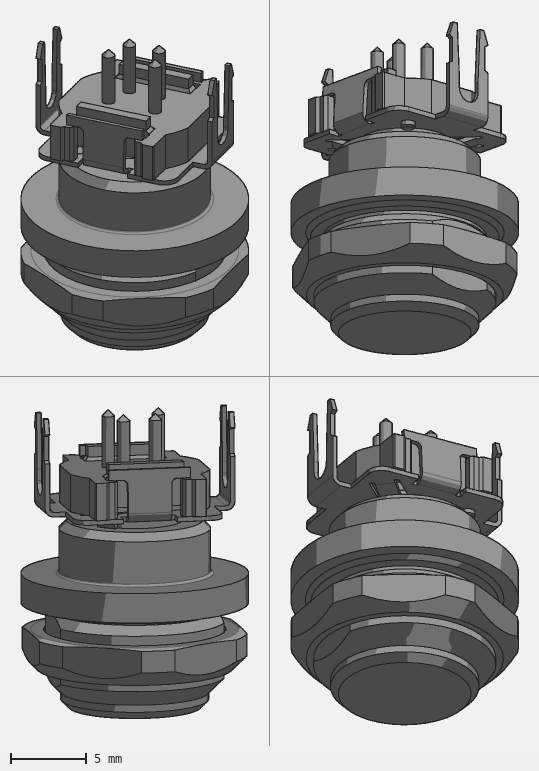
import cadquery as cq
import math

FLANGE_R = 7.5
FLANGE_BOTTOM_Z = 6.99
FLANGE_TOP_Z = 8.95
THREAD_R = 6.0
THREAD_FLAT_X = 5.5
THREAD_TOP_Z = 5.82
THREAD_RUNOUT = 0.62
NOSE_R = 4.88
NOSE_TOP_Z = 1.0
NOSE_CHAMFER = 0.52
SEAL_TIP_R = 6.21
SEAL_HEIGHT = 0.32
SLEEVE_R = 5.0
SLEEVE_TOP_Z = 12.49
SLEEVE_CHAMFER = 0.54
SLEEVE_FILLET = 0.18

NUT_FLAT_X = 6.99
NUT_BOTTOM_Z = 2.62
NUT_TOP_Z = 5.18
NUT_CHAMFER = 1.01
NUT_TOP_FACE_R = 6.85
NUT_TOP_BEVEL = 0.1

NECK_R = 3.12
BLOCK_BOTTOM_Z = 13.52
BLOCK_TOP_Z = 16.02
BLOCK_R = 5.0
BLOCK_HALF_X = 4.68
SHOULDER_HALF_X = 3.75
LUG_INNER_X = 2.78
LUG_HEIGHT = 0.2
LUG_CHAMFER_X = 0.05
LUG_CHAMFER_Y = 0.14
RECESS_HALF_X = 2.18
RECESS_CHAMFER = 0.22
POCKET_HALF_X = 2.78
POCKET_INNER_Y = 3.67
POCKET_OUTER_Y = 4.27
UNDERCUT_INNER_Y = 2.58
UNDERCUT_HEIGHT = 0.54
RIB_HALF_X = 2.52
RIB_INNER_Y = 2.98
RIB_TOP_Z = 16.95
RIB_SKIRT = 0.22
PEG_R = 0.48
PEG_X = 3.3
PEG_Y = 2.6
PEG_BOTTOM_Z = 12.78
PEG_CHAMFER = 0.12
PIN_R = 0.42
PIN_TOP_Z = 19.85
PIN_PLACES = [(-1.07, 1.47), (1.07, 1.47), (-1.69, -0.48), (1.69, -0.48)]

SHEET = 0.32
BEND_INNER_R = 0.3
BEND_OUTER_R = BEND_INNER_R + SHEET
PLATE_HALF = 5.0
PLATE_CORNER_R = 1.0
PLATE_BOTTOM_Z = BLOCK_BOTTOM_Z - SHEET
BEND_TOP_Z = PLATE_BOTTOM_Z + BEND_OUTER_R

TAB_OUTER_Y = 4.96
TAB_LEAN = 4.0
TAB_STEM_HALF_X = 1.47
TAB_RELIEF_HALF_X = 1.8
TAB_RELIEF_Y = 4.2
TAB_HEAD_HALF_X = 2.74
TAB_HEAD_BOTTOM_Z = 16.04
TAB_HEAD_FILLET = 0.38
TAB_TOP_Z = 16.73

WING_OUTER_X = 6.4
WING_HALF_Y = 1.69
WING_TOP_Z = 19.7
WAIST_HALF_Y = 1.4
WAIST_BOTTOM_Z = 16.95
WAIST_TOP_Z = 18.58
BARB_Z = 18.74
WAIST_STEP = 0.15
PRONG_TIP_OUTER_Y = 1.33
PRONG_TIP_INNER_Y = 1.0
SLOT_R = 0.81
SLOT_CENTRE_Z = 15.22
SLOT_TAPER_Z = 16.0

LEAF_HALF_WIDTH = 0.67
LEAF_ROOT = 4.76
LEAF_SLOPE = 18.0
LEAF_SLOT_WIDTH = 0.34
LEAF_SLOT_CENTRE = 4.96


def box(x0, x1, y0, y1, z0, z1):
    return cq.Workplane("XY").box(x1 - x0, y1 - y0, z1 - z0, centered=False).translate((x0, y0, z0))


def turned(points):
    """Solid of revolution about Z from (radius, z) points."""
    return cq.Workplane("XZ").polyline(points).close().revolve(360, (0, 0), (0, 1))


def both_ends(shape):
    """The shape together with its copy turned half a turn about Z."""
    return shape.union(shape.rotate((0, 0, 0), (0, 0, 1), 180))


def make_sleeve_fillet():
    """Concave fillet where the sleeve stands on the flange."""
    across_arc = SLEEVE_FILLET * (1 - math.sqrt(0.5))
    return (
        cq.Workplane("XZ")
        .moveTo(SLEEVE_R, FLANGE_TOP_Z)
        .lineTo(SLEEVE_R + SLEEVE_FILLET, FLANGE_TOP_Z)
        .threePointArc(
            (SLEEVE_R + across_arc, FLANGE_TOP_Z + across_arc),
            (SLEEVE_R, FLANGE_TOP_Z + SLEEVE_FILLET),
        )
        .close()
        .revolve(360, (0, 0), (0, 1))
    )


def make_housing():
    seal_bottom_z = FLANGE_BOTTOM_Z - SEAL_HEIGHT
    runout_r = THREAD_R - THREAD_RUNOUT
    shell = turned([
        (0, 0),
        (NOSE_R - NOSE_CHAMFER, 0),
        (NOSE_R, NOSE_CHAMFER),
        (NOSE_R, NOSE_TOP_Z),
        (THREAD_R, NOSE_TOP_Z + THREAD_R - NOSE_R),
        (THREAD_R, THREAD_TOP_Z),
        (runout_r, THREAD_TOP_Z + THREAD_RUNOUT),
        (runout_r, seal_bottom_z),
        (SEAL_TIP_R, seal_bottom_z),
        (SEAL_TIP_R + SEAL_HEIGHT, FLANGE_BOTTOM_Z),
        (FLANGE_R, FLANGE_BOTTOM_Z),
        (FLANGE_R, FLANGE_TOP_Z),
        (SLEEVE_R, FLANGE_TOP_Z),
        (SLEEVE_R, SLEEVE_TOP_Z - SLEEVE_CHAMFER),
        (SLEEVE_R - SLEEVE_CHAMFER, SLEEVE_TOP_Z),
        (0, SLEEVE_TOP_Z),
    ])
    beside_flat = box(THREAD_FLAT_X, FLANGE_R, -FLANGE_R, FLANGE_R, 0, seal_bottom_z)
    return shell.union(make_sleeve_fillet()).cut(both_ends(beside_flat))


def make_nut():
    height = NUT_TOP_Z - NUT_BOTTOM_Z
    corner_diameter = 2 * NUT_FLAT_X / math.cos(math.radians(30))
    base = cq.Workplane("XY", origin=(0, 0, NUT_BOTTOM_Z))
    hexagon = base.transformed(rotate=(0, 0, 30)).polygon(6, corner_diameter).extrude(height)
    turned_blank = turned([
        (0, NUT_BOTTOM_Z),
        (FLANGE_R - NUT_CHAMFER, NUT_BOTTOM_Z),
        (FLANGE_R, NUT_BOTTOM_Z + NUT_CHAMFER),
        (FLANGE_R, NUT_TOP_Z - NUT_TOP_BEVEL),
        (NUT_TOP_FACE_R, NUT_TOP_Z),
        (0, NUT_TOP_Z),
    ])
    bore = base.circle(THREAD_R).extrude(height)
    return hexagon.intersect(turned_blank).cut(bore)


def make_block():
    """Flat-sided round block with four corner lugs and, at each end, clearance for a clip tab.

    The clearance is a recess open to the outside, a through pocket behind it,
    and an undercut that reaches inward from the pocket along the clip plate.
    """
    height = BLOCK_TOP_Z - BLOCK_BOTTOM_Z
    plane = cq.Workplane("XY", origin=(0, 0, BLOCK_BOTTOM_Z))
    sides = plane.rect(2 * BLOCK_HALF_X, 2 * BLOCK_R).extrude(height)
    block = plane.circle(BLOCK_R).extrude(height).intersect(sides)
    block = block.union(plane.rect(2 * SHOULDER_HALF_X, 2 * BLOCK_R).extrude(height))

    lug = plane.polyline([
        (LUG_INNER_X, BLOCK_R),
        (LUG_INNER_X + LUG_HEIGHT, BLOCK_R + LUG_HEIGHT),
        (SHOULDER_HALF_X - LUG_CHAMFER_X, BLOCK_R + LUG_HEIGHT),
        (SHOULDER_HALF_X, BLOCK_R + LUG_HEIGHT - LUG_CHAMFER_Y),
        (SHOULDER_HALF_X, BLOCK_R),
    ]).close().extrude(height)
    block = block.union(both_ends(lug)).union(both_ends(lug.mirror("YZ")))

    mouth_half_x = RECESS_HALF_X + RECESS_CHAMFER
    recess = plane.polyline([
        (-RECESS_HALF_X, POCKET_INNER_Y),
        (RECESS_HALF_X, POCKET_INNER_Y),
        (RECESS_HALF_X, BLOCK_R - RECESS_CHAMFER),
        (mouth_half_x, BLOCK_R),
        (-mouth_half_x, BLOCK_R),
        (-RECESS_HALF_X, BLOCK_R - RECESS_CHAMFER),
    ]).close().extrude(height)
    pocket = box(-POCKET_HALF_X, POCKET_HALF_X, POCKET_INNER_Y, POCKET_OUTER_Y, BLOCK_BOTTOM_Z, BLOCK_TOP_Z)
    undercut = box(
        -POCKET_HALF_X, POCKET_HALF_X, UNDERCUT_INNER_Y, POCKET_INNER_Y,
        BLOCK_BOTTOM_Z, BLOCK_BOTTOM_Z + UNDERCUT_HEIGHT,
    )
    return block.cut(both_ends(recess.union(pocket).union(undercut)))


def make_rib():
    """Rib beside the pocket, with a sloped skirt on its three other sides."""
    rib = box(-RIB_HALF_X, RIB_HALF_X, RIB_INNER_Y, POCKET_INNER_Y, BLOCK_TOP_Z, RIB_TOP_Z)
    skirt = (
        cq.Workplane("XY", origin=(0, POCKET_INNER_Y, BLOCK_TOP_Z))
        .rect(2 * (RIB_HALF_X + RIB_SKIRT), 2 * (POCKET_INNER_Y - RIB_INNER_Y + RIB_SKIRT))
        .extrude(RIB_SKIRT, taper=45)
    )
    over_pocket = box(-BLOCK_R, BLOCK_R, POCKET_INNER_Y, 2 * BLOCK_R, BLOCK_TOP_Z, RIB_TOP_Z)
    return rib.union(skirt.cut(over_pocket))


def make_insert():
    insert = make_block().union(both_ends(make_rib()))
    neck = cq.Workplane("XY", origin=(0, 0, SLEEVE_TOP_Z)).circle(NECK_R).extrude(BLOCK_BOTTOM_Z - SLEEVE_TOP_Z)
    peg = (
        cq.Workplane("XY", origin=(PEG_X, -PEG_Y, PEG_BOTTOM_Z))
        .circle(PEG_R)
        .extrude(BLOCK_BOTTOM_Z - PEG_BOTTOM_Z)
        .faces("<Z")
        .chamfer(PEG_CHAMFER)
    )
    insert = insert.union(neck).union(both_ends(peg))
    pin = turned([
        (0, BLOCK_TOP_Z),
        (PIN_R, BLOCK_TOP_Z),
        (PIN_R, PIN_TOP_Z - PIN_R),
        (0, PIN_TOP_Z),
    ])
    for x, y in PIN_PLACES:
        insert = insert.union(pin.translate((x, y, 0)))
    return insert


def bent_edge(plane, outer, half_width, angle=90):
    """Bend from the plate up into a wall; at 90 degrees the wall's outer face is `outer` from the axis."""
    centre = outer - BEND_OUTER_R

    def at(radius, turn):
        turn = math.radians(turn)
        return (centre + radius * math.sin(turn), BEND_TOP_Z - radius * math.cos(turn))

    return (
        cq.Workplane(plane)
        .moveTo(*at(BEND_OUTER_R, 0))
        .threePointArc(at(BEND_OUTER_R, angle / 2), at(BEND_OUTER_R, angle))
        .lineTo(*at(BEND_INNER_R, angle))
        .threePointArc(at(BEND_INNER_R, angle / 2), at(BEND_INNER_R, 0))
        .close()
        .extrude(half_width, both=True)
    )


def make_tab():
    """T-shaped wall that stands in the recess of the block and leans toward the axis."""
    inner_y = TAB_OUTER_Y - SHEET
    stem = box(-TAB_STEM_HALF_X, TAB_STEM_HALF_X, inner_y, TAB_OUTER_Y, BEND_TOP_Z, TAB_HEAD_BOTTOM_Z)
    head = box(-TAB_HEAD_HALF_X, TAB_HEAD_HALF_X, inner_y, TAB_OUTER_Y, TAB_HEAD_BOTTOM_Z, TAB_TOP_Z)
    wall = stem.union(head)
    middle_y = TAB_OUTER_Y - SHEET / 2
    for side in (-1, 1):
        corner = cq.selectors.NearestToPointSelector((side * TAB_STEM_HALF_X, middle_y, TAB_HEAD_BOTTOM_Z))
        wall = wall.edges("|Y").edges(corner).fillet(TAB_HEAD_FILLET)
    bend_y = TAB_OUTER_Y - BEND_OUTER_R
    wall = wall.rotate((0, bend_y, BEND_TOP_Z), (1, bend_y, BEND_TOP_Z), TAB_LEAN)
    root = box(
        -TAB_STEM_HALF_X, TAB_STEM_HALF_X, TAB_RELIEF_Y, bend_y, PLATE_BOTTOM_Z, BLOCK_BOTTOM_Z
    )
    return wall.union(bent_edge("YZ", TAB_OUTER_Y, TAB_STEM_HALF_X, 90 + TAB_LEAN)).union(root)


def make_wing():
    """Fork with two barbed prongs, on an arm that reaches out from the plate."""
    outer_half = [
        (WING_HALF_Y, BEND_TOP_Z),
        (WING_HALF_Y, WAIST_BOTTOM_Z - WAIST_STEP),
        (WAIST_HALF_Y, WAIST_BOTTOM_Z),
        (WAIST_HALF_Y, WAIST_TOP_Z),
        (WING_HALF_Y, BARB_Z),
        (PRONG_TIP_OUTER_Y, WING_TOP_Z),
        (PRONG_TIP_INNER_Y, WING_TOP_Z),
        (SLOT_R, SLOT_TAPER_Z),
        (SLOT_R, SLOT_CENTRE_Z),
    ]
    other_half = [(-y, z) for y, z in reversed(outer_half)]
    fork = (
        cq.Workplane("YZ", origin=(WING_OUTER_X - SHEET, 0, 0))
        .polyline(outer_half)
        .threePointArc((0, SLOT_CENTRE_Z - SLOT_R), other_half[0])
        .polyline(other_half, includeCurrent=False)
        .close()
        .extrude(SHEET)
    )
    arm_end = WING_OUTER_X - BEND_OUTER_R
    arm = box(NECK_R, arm_end, -WING_HALF_Y, WING_HALF_Y, PLATE_BOTTOM_Z, BLOCK_BOTTOM_Z)
    return fork.union(arm).union(bent_edge("XZ", WING_OUTER_X, WING_HALF_Y))


def make_leaf():
    """Contact leaf that slopes down from the plate and stands on the housing beside the neck."""
    fall = math.tan(math.radians(LEAF_SLOPE))
    top_root = LEAF_ROOT - SHEET * math.tan(math.radians(LEAF_SLOPE / 2))
    leg_inner = NECK_R
    leg_outer = NECK_R + SHEET
    lower_elbow_z = PLATE_BOTTOM_Z - (LEAF_ROOT - leg_outer) * fall
    upper_elbow_z = BLOCK_BOTTOM_Z - (top_root - leg_inner) * fall
    leaf = cq.Workplane("XZ").polyline([
        (PLATE_HALF, PLATE_BOTTOM_Z),
        (LEAF_ROOT, PLATE_BOTTOM_Z),
        (leg_outer, lower_elbow_z),
        (leg_outer, SLEEVE_TOP_Z),
        (leg_inner, SLEEVE_TOP_Z),
        (leg_inner, upper_elbow_z),
        (top_root, BLOCK_BOTTOM_Z),
        (PLATE_HALF, BLOCK_BOTTOM_Z),
    ]).close().extrude(LEAF_HALF_WIDTH, both=True)
    for elbow, radius in (
        ((leg_outer, 0, lower_elbow_z), BEND_INNER_R),
        ((leg_inner, 0, upper_elbow_z), BEND_OUTER_R),
    ):
        leaf = leaf.edges("|Y").edges(cq.selectors.NearestToPointSelector(elbow)).fillet(radius)
    return leaf


def make_leaf_opening():
    """Opening around the leaf: a slot with a round end along each side, joined inward of its root."""
    half_width = LEAF_HALF_WIDTH + LEAF_SLOT_WIDTH
    opening = box(0, LEAF_SLOT_CENTRE, -half_width, half_width, PLATE_BOTTOM_Z, BLOCK_BOTTOM_Z)
    slot_middle = LEAF_HALF_WIDTH + LEAF_SLOT_WIDTH / 2
    round_ends = (
        cq.Workplane("XY", origin=(0, 0, PLATE_BOTTOM_Z))
        .pushPoints([(LEAF_SLOT_CENTRE, -slot_middle), (LEAF_SLOT_CENTRE, slot_middle)])
        .circle(LEAF_SLOT_WIDTH / 2)
        .extrude(SHEET)
    )
    return opening.union(round_ends)


def make_clip():
    plate = (
        cq.Workplane("XY", origin=(0, 0, PLATE_BOTTOM_Z))
        .rect(2 * PLATE_HALF, 2 * PLATE_HALF)
        .extrude(SHEET)
        .edges("|Z")
        .fillet(PLATE_CORNER_R)
    )
    relief = box(
        -TAB_RELIEF_HALF_X, TAB_RELIEF_HALF_X, TAB_RELIEF_Y, PLATE_HALF, PLATE_BOTTOM_Z, BLOCK_BOTTOM_Z
    )
    holes = (
        cq.Workplane("XY", origin=(0, 0, PLATE_BOTTOM_Z))
        .circle(NECK_R)
        .extrude(SHEET)
        .pushPoints([(PEG_X, -PEG_Y), (-PEG_X, PEG_Y)])
        .circle(PEG_R)
        .extrude(SHEET)
    )
    leaf_opening = make_leaf_opening().rotate((0, 0, 0), (0, 0, 1), 45)
    leaf = make_leaf().rotate((0, 0, 0), (0, 0, 1), 45)

    clip = plate.union(both_ends(make_wing()))
    clip = clip.cut(both_ends(relief)).cut(holes).cut(both_ends(leaf_opening))
    return clip.union(both_ends(make_tab())).union(both_ends(leaf))


housing = make_housing().solids()
nut = make_nut().solids()
insert = make_insert().solids()
clip = make_clip().solids()

result = cq.Compound.makeCompound([housing.val(), nut.val(), insert.val(), clip.val()])